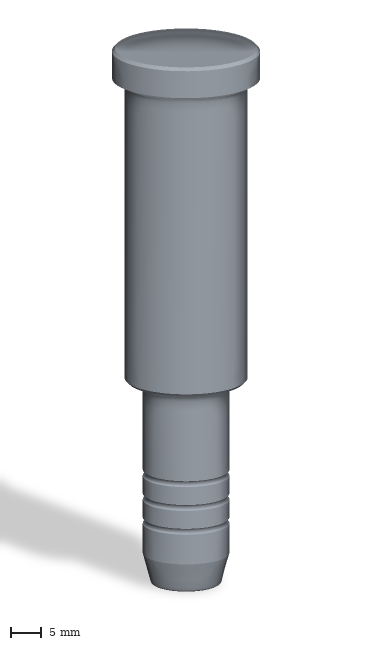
import cadquery as cq
import math

total_length = 90.0

head_diameter = 24.0
head_thickness = 5.0
head_chamfer = 0.5

body_diameter = 20.0
body_end_from_top = 56.0
body_chamfer = 0.5

pin_diameter = 14.0
relief_diameter = 13.0
relief_length = 1.0

groove_radius = 0.5
pin_groove_count = 3
lowest_groove_height = 10.5
pin_groove_span = 8.0

tip_length = 5.0
tip_half_angle = 15.0
tip_fillet = 0.5

head_bottom = total_length - head_thickness
body_bottom = total_length - body_end_from_top
relief_bottom = body_bottom - relief_length
body_radius = body_diameter / 2
pin_radius = pin_diameter / 2
pin_groove_pitch = pin_groove_span / (pin_groove_count - 1)
tip_radius = pin_radius - tip_length * math.tan(math.radians(tip_half_angle))


def cylinder(diameter, bottom, top):
    """Solid cylinder on the Z axis between two heights."""
    return cq.Workplane("XY").workplane(offset=bottom).circle(diameter / 2).extrude(top - bottom)


def groove_ring(surface_radius, height):
    """Ring of round section that cuts a half-round groove into a round surface."""
    return cq.Workplane("XZ").center(surface_radius, height).circle(groove_radius).revolve(
        360, (-surface_radius, 0), (-surface_radius, 1)
    )


def make_head():
    head = cylinder(head_diameter, head_bottom, total_length)
    return head.faces(">Z").chamfer(head_chamfer)


def make_body():
    body = cylinder(body_diameter, body_bottom, head_bottom)
    body = body.faces("<Z").chamfer(body_chamfer)
    return body.cut(groove_ring(body_radius, head_bottom - groove_radius))


def make_pin():
    pin = cylinder(pin_diameter, tip_length, relief_bottom)
    for index in range(pin_groove_count):
        pin = pin.cut(groove_ring(pin_radius, lowest_groove_height + index * pin_groove_pitch))
    return pin


def make_tip():
    tip = (
        cq.Workplane("XY")
        .circle(tip_radius)
        .workplane(offset=tip_length)
        .circle(pin_radius)
        .loft(ruled=True)
    )
    return tip.faces("<Z").fillet(tip_fillet)


relief = cylinder(relief_diameter, relief_bottom, body_bottom)

result = make_head().union(make_body()).union(relief).union(make_pin()).union(make_tip())